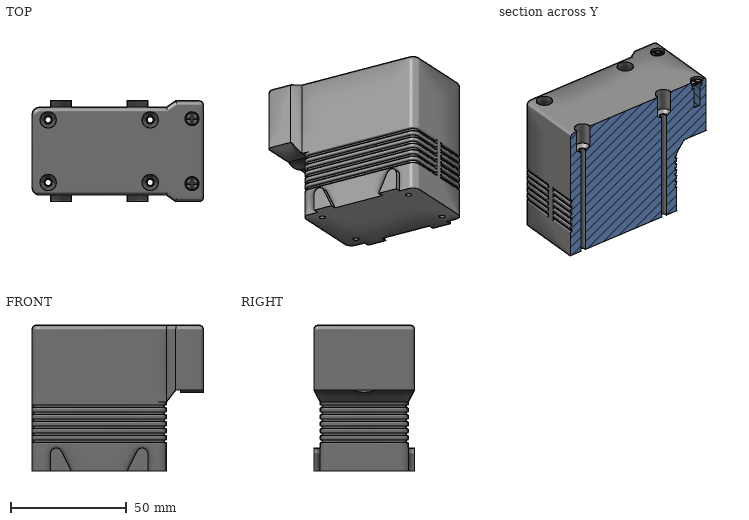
import cadquery as cq
import math

body_length = 58.0
body_width = 38.0
total_height = 63.0
body_corner_radius = 3.5
body_middle = body_length / 2

neck_end = 74.0
neck_width = 43.5
neck_start = 62.0
neck_underside = 35.0
flare_start_height = 29.8
neck_corner_radius = 2.0
top_edge_radius = 1.99

groove_count = 6
groove_pitch = 3.0
groove_width = 1.1
groove_depth = 0.8
groove_rim_radius = 0.45
first_groove_bottom = 12.37
last_groove_top = first_groove_bottom + (groove_count - 1) * groove_pitch + groove_width
bridge_width = 3.6

peg_inset = 8.0
peg_foot = 9.0
peg_height = 10.0
peg_tip_radius = 2.5

fixing_hole_spacing_x = 44.0
fixing_hole_spacing_y = 27.0
fixing_hole_diameter = 2.6
counterbore_diameter = 7.0
counterbore_depth = 10.0
cone_tip_diameter = 3.5
cone_height = 1.4

screw_x = 69.0
screw_spacing = 28.0
screw_head_diameter = 5.2
screw_head_height = 2.0
screw_shank_diameter = 3.0
screw_shank_length = 10.0
screw_slot_width = 0.75
screw_slot_depth = 0.8
recess_diameter = 6.0
recess_depth = 1.2

clamp_length = 10.0
clamp_drop = 1.0
clamp_radius = 12.0


def column_slab(bottom, top, inset=0.0):
    """Slab of the rounded column outline, drawn in by `inset` on every side."""
    return (
        cq.Workplane("XY", origin=(body_middle, 0, bottom))
        .rect(body_length - 2 * inset, body_width - 2 * inset)
        .extrude(top - bottom)
        .edges("|Z")
        .fillet(body_corner_radius - inset)
    )


def make_upper_hood():
    half_body = body_width / 2
    half_neck = neck_width / 2
    upper = (
        cq.Workplane("XY", origin=(0, 0, flare_start_height))
        .moveTo(0, -half_body)
        .lineTo(body_length, -half_body)
        .lineTo(neck_start, -half_neck)
        .lineTo(neck_end, -half_neck)
        .lineTo(neck_end, half_neck)
        .lineTo(neck_start, half_neck)
        .lineTo(body_length, half_body)
        .lineTo(0, half_body)
        .close()
        .extrude(total_height - flare_start_height)
    )
    upper = upper.edges("|Z and <X").fillet(body_corner_radius)
    upper = upper.edges("|Z and >X").fillet(neck_corner_radius)
    upper = upper.faces(">Z").edges().fillet(top_edge_radius)
    space_under_neck = (
        cq.Workplane("XZ")
        .moveTo(body_length, flare_start_height)
        .lineTo(neck_start, neck_underside)
        .lineTo(neck_end, neck_underside)
        .lineTo(neck_end, flare_start_height)
        .close()
        .extrude(neck_width / 2, both=True)
    )
    return upper.cut(space_under_neck)


def make_grooved_column():
    core = column_slab(first_groove_bottom, last_groove_top, groove_depth)
    base = column_slab(0, first_groove_bottom).faces(">Z").edges().fillet(groove_rim_radius)
    shoulder = column_slab(last_groove_top, flare_start_height)
    shoulder = shoulder.faces("<Z").edges().fillet(groove_rim_radius)
    column = core.union(base).union(shoulder)
    for index in range(groove_count - 1):
        rib_bottom = first_groove_bottom + groove_width + index * groove_pitch
        rib = column_slab(rib_bottom, rib_bottom + groove_pitch - groove_width)
        rounded_rib = rib.faces("<Z or >Z").edges().fillet(groove_rim_radius)
        column = column.union(rounded_rib)
    bridge_bottom = first_groove_bottom - groove_rim_radius
    bridge_top = last_groove_top + groove_rim_radius
    bridge = cq.Workplane("XY").box(
        2 * groove_depth, bridge_width, bridge_top - bridge_bottom, centered=(False, True, False)
    )
    return column.union(bridge.translate((0, 0, bridge_bottom)))


def make_peg():
    """Peg at the -X end of the -Y side: upright edge, round tip, slope tangent to the tip."""
    tip_x = peg_inset + peg_tip_radius
    tip_z = peg_height - peg_tip_radius
    foot_x = peg_inset + peg_foot
    foot_distance = math.hypot(foot_x - tip_x, tip_z)
    slope_angle = math.acos(peg_tip_radius / foot_distance) - math.atan2(tip_z, foot_x - tip_x)
    slope_start = (
        tip_x + peg_tip_radius * math.cos(slope_angle),
        tip_z + peg_tip_radius * math.sin(slope_angle),
    )
    return (
        cq.Workplane("XZ", origin=(0, -body_width / 2, 0))
        .moveTo(peg_inset, 0)
        .lineTo(peg_inset, tip_z)
        .threePointArc(
            (
                tip_x + peg_tip_radius * math.cos((math.pi + slope_angle) / 2),
                tip_z + peg_tip_radius * math.sin((math.pi + slope_angle) / 2),
            ),
            slope_start,
        )
        .lineTo(foot_x, 0)
        .close()
        .extrude((neck_width - body_width) / 2)
    )


def make_fixing_hole():
    """Cutter: deep counterbore from the top face, a conical floor, then a plain hole to the bottom."""
    counterbore_floor = total_height - counterbore_depth
    cone_bottom = counterbore_floor - cone_height
    return (
        cq.Workplane("XZ")
        .moveTo(0, 0)
        .lineTo(fixing_hole_diameter / 2, 0)
        .lineTo(fixing_hole_diameter / 2, cone_bottom)
        .lineTo(cone_tip_diameter / 2, cone_bottom)
        .lineTo(counterbore_diameter / 2, counterbore_floor)
        .lineTo(counterbore_diameter / 2, total_height)
        .lineTo(0, total_height)
        .close()
        .revolve(360, (0, 0, 0), (0, 1, 0))
    )


def make_screw(x, y):
    """Cross-slotted screw with its head sunk below the top face."""
    head_top = total_height - recess_depth
    head = (
        cq.Workplane("XY", origin=(x, y, head_top))
        .circle(screw_head_diameter / 2)
        .extrude(-screw_head_height)
    )
    shank = (
        cq.Workplane("XY", origin=(x, y, head_top - screw_head_height))
        .circle(screw_shank_diameter / 2)
        .extrude(-screw_shank_length)
    )
    return head.union(shank)


def cut_cross_slot(screw, x, y):
    head_top = total_height - recess_depth
    slot = (
        cq.Workplane("XY", origin=(x, y, head_top))
        .rect(screw_head_diameter, screw_slot_width)
        .rect(screw_slot_width, screw_head_diameter)
        .extrude(-screw_slot_depth)
    )
    return screw.cut(slot)


def make_clamp():
    """Cable clamp: arched strip lying against the neck underside."""
    arch_centre_z = neck_underside - clamp_drop + clamp_radius
    half_chord = math.sqrt(clamp_radius**2 - (clamp_radius - clamp_drop) ** 2)
    return (
        cq.Workplane("YZ", origin=(neck_end - clamp_length, 0, 0))
        .moveTo(-half_chord, neck_underside)
        .threePointArc((0, arch_centre_z - clamp_radius), (half_chord, neck_underside))
        .close()
        .extrude(clamp_length)
    )


hood = make_grooved_column().union(make_upper_hood())

left_peg = make_peg()
right_peg = left_peg.mirror("YZ", (body_middle, 0, 0))
for peg in (left_peg, right_peg):
    hood = hood.union(peg).union(peg.mirror("XZ"))

fixing_hole = make_fixing_hole()
for side_x in (-1, 1):
    for side_y in (-1, 1):
        hole_x = body_middle + side_x * fixing_hole_spacing_x / 2
        hole_y = side_y * fixing_hole_spacing_y / 2
        hood = hood.cut(fixing_hole.translate((hole_x, hole_y, 0)))

screws = []
for side_y in (-1, 1):
    screw_y = side_y * screw_spacing / 2
    blank = make_screw(screw_x, screw_y)
    recess = (
        cq.Workplane("XY", origin=(screw_x, screw_y, total_height))
        .circle(recess_diameter / 2)
        .extrude(-recess_depth)
    )
    hood = hood.cut(recess).cut(blank)
    screws.append(cut_cross_slot(blank, screw_x, screw_y))

clamp = make_clamp()

result = cq.Compound.makeCompound([hood.val(), *[screw.val() for screw in screws], clamp.val()])